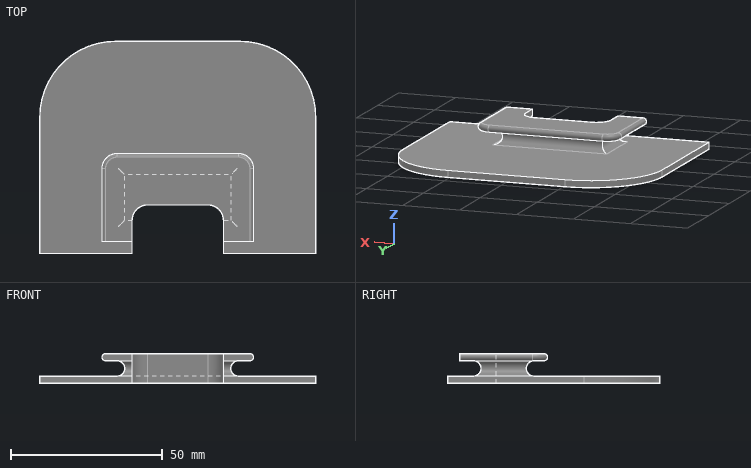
import cadquery as cq

plate_width = 91.0
plate_depth = 70.0
plate_thickness = 2.4
plate_corner_radius = 25.0

total_height = 9.8
flange_width = 50.0
flange_front = 4.0
flange_back = 33.0
flange_thickness = 2.4
flange_corner_radius = 5.0
flange_edge_radius = flange_thickness / 2
flange_bottom = total_height - flange_thickness

neck_width = 35.0
neck_front = 11.0
neck_back = 26.0
groove_radius = (flange_bottom - plate_thickness) / 2
groove_height = plate_thickness + groove_radius

slot_width = 30.0
slot_depth = 16.0
slot_corner_radius = 5.0


def block(width, front, back, bottom, top):
    """Box centred on X, between the given Y and Z limits."""
    return (
        cq.Workplane("XY")
        .box(width, back - front, top - bottom, centered=(True, False, False))
        .translate((0, front, bottom))
    )


def make_plate():
    plate = block(plate_width, 0, plate_depth, 0, plate_thickness)
    return plate.edges("|Z and >Y").fillet(plate_corner_radius)


def make_flange():
    """Flat core with a full-round rim swept along its left, back and right sides."""
    core_width = flange_width - 2 * flange_edge_radius
    core_back = flange_back - flange_edge_radius
    core_corner_radius = flange_corner_radius - flange_edge_radius
    core = block(core_width, flange_front, core_back, flange_bottom, total_height)
    core = core.edges("|Z and >Y").fillet(core_corner_radius)

    half_width = core_width / 2
    corner_x = half_width - core_corner_radius
    corner_y = core_back - core_corner_radius
    rim_height = flange_bottom + flange_edge_radius
    rim_path = (
        cq.Workplane("XY", origin=(0, 0, rim_height))
        .moveTo(-half_width, flange_front)
        .lineTo(-half_width, corner_y)
        .tangentArcPoint((-corner_x, core_back), relative=False)
        .lineTo(corner_x, core_back)
        .tangentArcPoint((half_width, corner_y), relative=False)
        .lineTo(half_width, flange_front)
    )
    rim = (
        cq.Workplane("XZ", origin=(-half_width, flange_front, rim_height))
        .moveTo(0, flange_edge_radius)
        .threePointArc((-flange_edge_radius, 0), (0, -flange_edge_radius))
        .close()
        .sweep(rim_path)
    )
    return core.union(rim)


def make_neck():
    """Block flared into plate and flange by half-round grooves that meet at mitred corners."""
    foot_width = neck_width + 2 * groove_radius
    foot_front = neck_front - groove_radius
    foot_back = neck_back + groove_radius
    neck = block(foot_width, foot_front, foot_back, plate_thickness, flange_bottom)

    for y in (foot_front, foot_back):
        groove = (
            cq.Workplane("YZ", origin=(0, y, groove_height))
            .circle(groove_radius)
            .extrude(foot_width, both=True)
        )
        neck = neck.cut(groove)
    for x in (-foot_width / 2, foot_width / 2):
        groove = (
            cq.Workplane("XZ", origin=(x, 0, groove_height))
            .circle(groove_radius)
            .extrude(-plate_depth)
        )
        neck = neck.cut(groove)
    return neck


def make_slot():
    slot = block(slot_width, 0, slot_depth, 0, total_height)
    return slot.edges("|Z and >Y").fillet(slot_corner_radius)


result = make_plate().union(make_neck()).union(make_flange()).cut(make_slot())